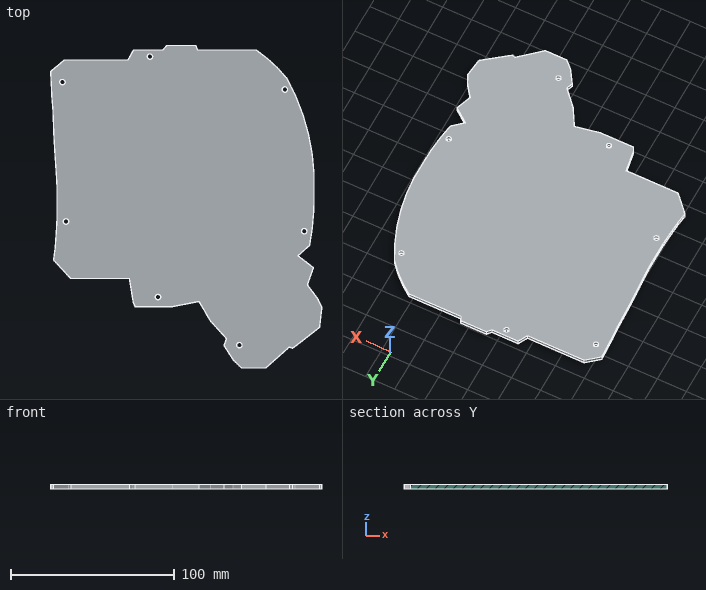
import cadquery as cq

WIDTH = 166.5
LENGTH = 198.0
THICKNESS = 3.0
HOLE_DIAMETER = 3.2

LEFT_SHOULDER_Y = 189.0
REAR_EDGE_Y = 195.1
LEFT_FRONT_EDGE_Y = 54.8
FRONT_TAB_Y = 37.6

LEFT_SIDE = [
    (1.8, 66.3),
    (2.8, 73.6),
    (3.5, 85.1),
    (4.0, 92.6),
    (4.0, 110.0),
    (3.5, 117.5),
    (2.8, 129.2),
    (2.4, 135.5),
    (2.0, 142.9),
    (1.4, 158.7),
    (0.8, 165.5),
    (0.2, 178.0),
    (0.0, 181.9),
]

REAR_EDGE = [
    (8.5, LEFT_SHOULDER_Y),
    (47.5, LEFT_SHOULDER_Y),
    (50.9, REAR_EDGE_Y),
    (68.9, REAR_EDGE_Y),
    (71.3, LENGTH),
    (89.0, LENGTH),
    (90.3, REAR_EDGE_Y),
    (126.0, REAR_EDGE_Y),
]

RIGHT_ARCS = [
    ((135.8, 187.5), (145.0, 177.5)),
    ((157.3, 147.0), (161.7, 106.9)),
    ((161.1, 90.8), (159.0, 75.2)),
]

NOTCH_AND_LOBE = [
    (151.8, 68.9),
    (161.3, 61.5),
    (157.5, 51.0),
    (161.1, 46.3),
    (164.0, 42.2),
    (WIDTH, 37.2),
    (165.0, 25.0),
    (150.0, 13.3),
    (148.2, 12.0),
    (146.5, 12.9),
    (132.0, 0.0),
    (117.2, 0.0),
    (112.0, 5.0),
    (106.3, 13.9),
    (107.9, 18.0),
    (98.0, 28.9),
    (91.0, 40.8),
]

FRONT_EDGE = [
    (74.8, FRONT_TAB_Y),
    (51.9, FRONT_TAB_Y),
    (50.7, 40.2),
    (48.3, LEFT_FRONT_EDGE_Y),
    (12.5, LEFT_FRONT_EDGE_Y),
    (11.0, 56.2),
]

HOLE_CENTRES = [
    (7.3, 175.4),
    (61.0, 191.0),
    (143.7, 170.8),
    (155.5, 84.0),
    (115.8, 14.0),
    (66.0, 43.5),
    (9.5, 89.9),
]


def line_through(sketch, points):
    """Continue an outline with straight segments through the points."""
    for x, y in points:
        sketch = sketch.lineTo(x, y)
    return sketch


def plate_body():
    """Flat plate bounded by the full outline, taken clockwise from the left front corner."""
    outline = cq.Workplane("XY").moveTo(*LEFT_SIDE[0])
    outline = line_through(outline, LEFT_SIDE[1:] + REAR_EDGE)
    for mid_point, end_point in RIGHT_ARCS:
        outline = outline.threePointArc(mid_point, end_point)
    outline = line_through(outline, NOTCH_AND_LOBE + FRONT_EDGE)
    return outline.close().extrude(THICKNESS)


def mounting_holes():
    """Cylinders that cut the mounting holes."""
    return (
        cq.Workplane("XY")
        .pushPoints(HOLE_CENTRES)
        .circle(HOLE_DIAMETER / 2)
        .extrude(THICKNESS)
    )


result = plate_body().cut(mounting_holes())